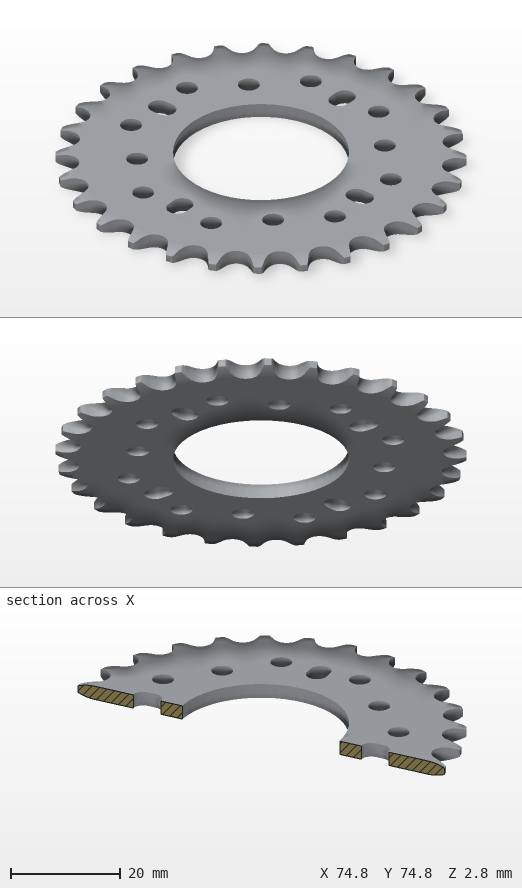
import cadquery as cq
import math

teeth = 28
pitch = 8.0
roller_diameter = 5.0

outer_diameter = 74.8
thickness = 2.8
flat_face_radius = 34.1
side_radius = pitch

grid = pitch
bore_diameter = 4 * grid
hole_diameter = grid / 2
slot_length = 5.5
slot_outer_end = 3 * grid + hole_diameter / 2

half_step = math.pi / teeth
pitch_radius = pitch / (2 * math.sin(half_step))
seat_radius = 1.005 * roller_diameter / 2
seat_angle = math.radians(35 + 60 / teeth)
flank_sweep = math.radians(18 - 56 / teeth)
flank_offset = 0.8 * roller_diameter
flank_radius = flank_offset + seat_radius
topping_offset = 1.4 * roller_diameter


def on_circle(center, radius, angle):
    """Point on a circle at an angle from the X axis."""
    return (center[0] + radius * math.cos(angle), center[1] + radius * math.sin(angle))


def right_flank():
    """Points up the right side of one gap, from the end of the roller seat to the tooth apex."""
    roller = (0, pitch_radius)
    flank_center = on_circle(roller, flank_offset, math.pi - seat_angle)
    topping_center = on_circle(roller, topping_offset, -half_step)

    seat_end = on_circle(roller, seat_radius, -seat_angle)
    flank_middle = on_circle(flank_center, flank_radius, flank_sweep / 2 - seat_angle)
    flank_normal = flank_sweep - seat_angle
    flank_end = on_circle(flank_center, flank_radius, flank_normal)

    span_x = topping_center[0] - flank_end[0]
    span_y = topping_center[1] - flank_end[1]
    topping_radius = span_x * math.cos(flank_normal) + span_y * math.sin(flank_normal)
    topping_start_angle = flank_normal + math.pi
    topping_start = on_circle(topping_center, topping_radius, topping_start_angle)

    past_tooth_center = topping_offset - pitch / 2
    apex_angle = math.pi - half_step - math.acos(past_tooth_center / topping_radius)
    topping_middle = on_circle(topping_center, topping_radius, (topping_start_angle + apex_angle) / 2)
    apex = on_circle(topping_center, topping_radius, apex_angle)
    return seat_end, flank_middle, flank_end, topping_start, topping_middle, apex


def mirrored(point):
    """Point swapped to the left side of the gap."""
    return (-point[0], point[1])


def turned(point, angle):
    """Point turned about the sprocket axis."""
    x, y = point
    return (x * math.cos(angle) - y * math.sin(angle), x * math.sin(angle) + y * math.cos(angle))


def toothed_plate():
    """Plate with pointed teeth, before the tips are cut back. A tooth stands on each axis."""
    seat_end, flank_middle, flank_end, topping_start, topping_middle, apex = right_flank()
    seat_bottom = (0, pitch_radius - seat_radius)
    outline = cq.Workplane("XY").workplane(offset=-thickness / 2)
    outline = outline.moveTo(*turned(mirrored(apex), -half_step))
    for gap in range(teeth):
        angle = -(2 * gap + 1) * half_step

        def left(point):
            return turned(mirrored(point), angle)

        def right(point):
            return turned(point, angle)

        outline = (
            outline.threePointArc(left(topping_middle), left(topping_start))
            .lineTo(*left(flank_end))
            .threePointArc(left(flank_middle), left(seat_end))
            .threePointArc(right(seat_bottom), right(seat_end))
            .threePointArc(right(flank_middle), right(flank_end))
            .lineTo(*right(topping_start))
            .threePointArc(right(topping_middle), right(apex))
        )
    return outline.close().extrude(thickness)


def rounded_disc():
    """Turned disc whose rim curves inwards from both flat faces to the outer diameter."""
    half_thickness = thickness / 2
    rim_depth = outer_diameter / 2 - flat_face_radius
    rim_angle = math.asin(rim_depth / side_radius)
    arc_center = (flat_face_radius, half_thickness - side_radius)
    arc_middle = on_circle(arc_center, side_radius, (math.pi - rim_angle) / 2)
    rim_edge = on_circle(arc_center, side_radius, math.pi / 2 - rim_angle)
    return (
        cq.Workplane("XZ")
        .moveTo(0, -half_thickness)
        .lineTo(flat_face_radius, -half_thickness)
        .threePointArc((arc_middle[0], -arc_middle[1]), (rim_edge[0], -rim_edge[1]))
        .lineTo(*rim_edge)
        .threePointArc(arc_middle, (flat_face_radius, half_thickness))
        .lineTo(0, half_thickness)
        .close()
        .revolve(360, (0, 0, 0), (0, 1, 0))
    )


def openings():
    """Bore, round holes and radial slots, as solids to remove."""
    base = cq.Workplane("XY").workplane(offset=-thickness / 2)
    bore = base.circle(bore_diameter / 2).extrude(thickness)
    quadrant = [(grid, 3 * grid), (2 * grid, 2 * grid), (3 * grid, grid)]
    signs = [(1, 1), (-1, 1), (-1, -1), (1, -1)]
    centers = [(sign_x * x, sign_y * y) for x, y in quadrant for sign_x, sign_y in signs]
    holes = base.pushPoints(centers).circle(hole_diameter / 2).extrude(thickness)
    slot_center = slot_outer_end - slot_length / 2
    slots = (
        base.polarArray(slot_center, 0, 360, 4)
        .slot2D(slot_length, hole_diameter)
        .extrude(thickness)
    )
    return bore.union(holes).union(slots)


result = toothed_plate().intersect(rounded_disc()).cut(openings())